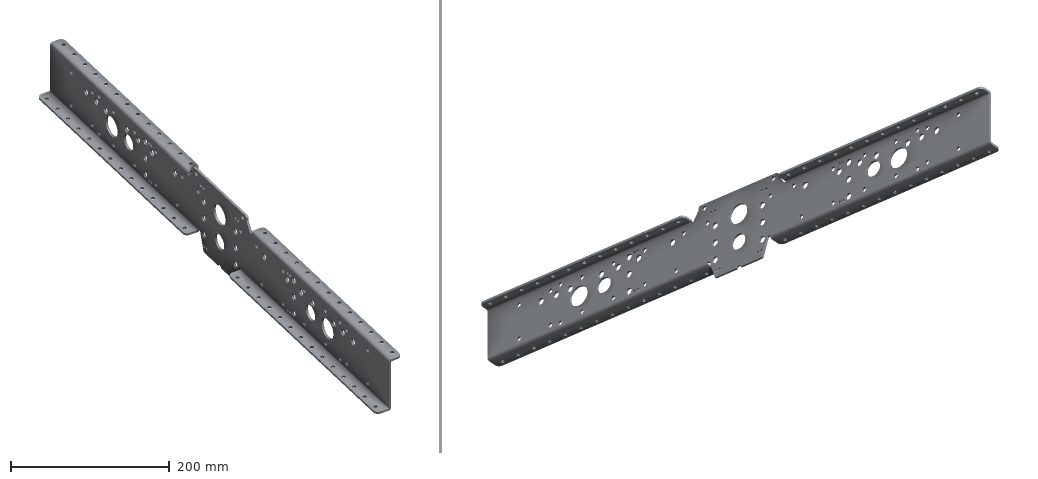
import cadquery as cq

INCH = 25.4

length = 32 * INCH
half_length = length / 2
sheet = 0.125 * INCH
web_front = 0.0
web_back = web_front + sheet
bend_inner = 1.2
bend_outer = bend_inner + sheet
upper_height = 40.8
lower_height = 37.0
flange_reach = 0.75 * INCH
flange_corner = 0.25 * INCH
upper_bend_line = upper_height - bend_outer
lower_bend_line = lower_height - bend_outer

upper_gap = 3 * INCH
lower_gap = 2 * INCH

total_height = 116.33
upper_tab_top = 55.9
lower_tab_bottom = upper_tab_top - total_height
upper_tab_half_width = 64.8
upper_tab_root_half_width = 73.0
upper_tab_shoulder = 49.5
upper_tab_corner = 4.0
lower_tab_half_width = 38.0
lower_tab_root_half_width = 46.8

rivet_diameter = 4.4
flange_hole_diameter = 5.3
screw_diameter = 6.6
bolt_diameter = 9.3
shaft_diameter = 0.875 * INCH
bearing_diameter = 1.125 * INCH

flange_hole_pitch = 1 * INCH
flange_hole_end = 0.5 * INCH
flange_hole_offset = 12.5
upper_hole_count = 13
lower_hole_count = 14

row = 1 * INCH
outer_row = 1.125 * INCH
tab_bolt_offset = 1.5 * INCH
tab_bolt_top = 16.9
tab_bolt_pitch = 1 * INCH
tab_bolt_count = 3
bolt_column = 7 * INCH
screw_points = [(inches * INCH, row) for inches in (2, 3.5, 6, 8, 10, 12, 14)]
screw_points += [(inches * INCH, -row) for inches in (4, 6, 8, 10, 12, 14)]
screw_points += [(288.9, outer_row), (288.9, -outer_row), (55.8, 49.6)]
rivet_points = [(x, z) for x in (163.5, 169.0) for z in (outer_row, -outer_row)]
rivet_points += [(44.5, 38.2), (38.1, 38.2), (37.0, -51.1), (31.2, -50.6)]
bolt_points = [(bolt_column, z) for z in (row, 0, -row)]
bolt_points += [(tab_bolt_offset, tab_bolt_top - i * tab_bolt_pitch) for i in range(tab_bolt_count)]
bolt_points += [(x, 16.1) for x in (319.9, 295.4, 272.9)]
bolt_points += [(x, 17.6) for x in (222.5, 195.2, 162.1)]
bolt_points += [(107.4, 19.2)]
bearing_point = (258.6, 0)
shaft_point = (217.9, 0)
center_bearing_point = (0, 19.6)
center_shaft_point = (0, -22.0)


def mirrored(points):
    return points + [(-x, z) for x, z in points]


def make_web():
    right_side = [
        (upper_tab_half_width, upper_tab_top),
        (upper_tab_half_width, upper_tab_shoulder),
        (upper_tab_root_half_width, upper_bend_line),
        (half_length, upper_bend_line),
        (half_length, -lower_bend_line),
        (lower_tab_root_half_width, -lower_bend_line),
        (lower_tab_half_width, lower_tab_bottom),
    ]
    left_side = [(-x, z) for x, z in reversed(right_side)]
    outline = cq.Workplane("XZ", origin=(0, web_back, 0)).polyline(right_side + left_side).close()
    web = outline.extrude(sheet)
    top_corners = web.faces(">Z").edges("|Y")
    return top_corners.fillet(upper_tab_corner)


def make_flange(x_start, gap, side, height):
    """Bend and flange over one half: side 1 is up and to the back, side -1 down and to the front."""
    outer_face, inner_face = (web_front, web_back) if side > 0 else (web_back, web_front)
    bend_line = side * (height - bend_outer)
    profile = (
        cq.Workplane("YZ", origin=(x_start, 0, 0))
        .moveTo(outer_face, bend_line)
        .radiusArc((outer_face + side * bend_outer, side * height), bend_outer)
        .lineTo(side * flange_reach, side * height)
        .lineTo(side * flange_reach, side * (height - sheet))
        .lineTo(inner_face + side * bend_inner, side * (height - sheet))
        .radiusArc((inner_face, bend_line), -bend_inner)
        .close()
    )
    flange = profile.extrude(half_length - gap)
    free_edge = ">Y" if side > 0 else "<Y"
    return flange.faces(free_edge).edges("|Z").fillet(flange_corner)


def make_flange_holes(side, height, count):
    places = [half_length - flange_hole_end - i * flange_hole_pitch for i in range(count)]
    points = mirrored([(x, side * flange_hole_offset) for x in places])
    top = height if side > 0 else -height + sheet
    plane = cq.Workplane("XY", origin=(0, 0, top))
    return plane.pushPoints(points).circle(flange_hole_diameter / 2).extrude(-sheet)


def make_web_holes(diameter, points):
    plane = cq.Workplane("XZ", origin=(0, web_back, 0))
    return plane.pushPoints(points).circle(diameter / 2).extrude(sheet)


part = make_web()

for side, gap, height, hole_count in (
    (1, upper_gap, upper_height, upper_hole_count),
    (-1, lower_gap, lower_height, lower_hole_count),
):
    for x_start in (-half_length, gap):
        part = part.union(make_flange(x_start, gap, side, height))
    part = part.cut(make_flange_holes(side, height, hole_count))

for diameter, points in (
    (rivet_diameter, mirrored(rivet_points)),
    (screw_diameter, mirrored(screw_points)),
    (screw_diameter, [(0, lower_tab_bottom)]),
    (bolt_diameter, mirrored(bolt_points)),
    (shaft_diameter, mirrored([shaft_point]) + [center_shaft_point]),
    (bearing_diameter, mirrored([bearing_point]) + [center_bearing_point]),
):
    part = part.cut(make_web_holes(diameter, points))

result = part